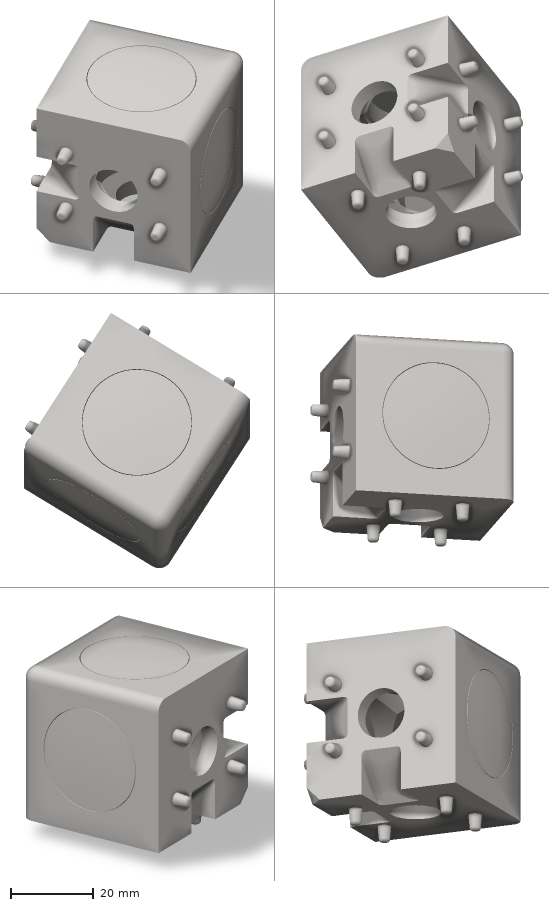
import cadquery as cq
import math

cube_size = 40.0
half_cube = cube_size / 2
round_radius = 3.0
corner_leg = 3.45

notch_leg = 11.0
notch_width = 10.55
notch_fillet = 0.98

port_diameter = 12.5
port_wall = 4.45
chamber_floor_diameter = 21.78
chamber_roof_diameter = 23.45
opening_wall = 7.1
opening_diameter = 21.35
chamber_length = cube_size - port_wall - opening_wall

lens_diameter = 26.5
lens_thickness = 2.0
lens_rise = 0.45
lens_gap = 0.18
seat_diameter = lens_diameter + 2 * lens_gap

pin_length = 4.0
pin_base_radius = 1.7
pin_shoulder_radius = 1.38
pin_nose_radius = 0.75
pin_long_offset = 12.18
pin_short_offset = 8.4

port_planes = [
    cq.Plane(origin=(-half_cube, 0, 0), xDir=(0, 1, 0), normal=(-1, 0, 0)),
    cq.Plane(origin=(0, -half_cube, 0), xDir=(1, 0, 0), normal=(0, -1, 0)),
    cq.Plane(origin=(0, 0, -half_cube), xDir=(1, 0, 0), normal=(0, 0, -1)),
]
lens_planes = [
    cq.Plane(origin=(half_cube, 0, 0), xDir=(0, 1, 0), normal=(1, 0, 0)),
    cq.Plane(origin=(0, half_cube, 0), xDir=(1, 0, 0), normal=(0, 1, 0)),
    cq.Plane(origin=(0, 0, half_cube), xDir=(1, 0, 0), normal=(0, 0, 1)),
]


def disc(plane, diameter, start_depth, length):
    """Cylinder that starts at a depth below a face plane and runs further into the cube."""
    return cq.Workplane(plane).workplane(offset=-start_depth).circle(diameter / 2).extrude(-length)


def make_cube():
    """Cube with three rounded edges at one corner and the opposite corner cut off."""
    cube = cq.Workplane("XY").box(cube_size, cube_size, cube_size)
    cube = cube.edges("(>X and >Y) or (>X and >Z) or (>Y and >Z)").fillet(round_radius)
    cut_center = -half_cube + corner_leg / 3
    cut_plane = cq.Plane(origin=(cut_center, cut_center, cut_center), xDir=(1, -1, 0), normal=(-1, -1, -1))
    return cube.cut(cq.Workplane(cut_plane).circle(corner_leg).extrude(corner_leg))


def make_notch(plane_name):
    """Triangular prism along one cube edge, with its diagonal wall rounded into both ends."""
    prism = (
        cq.Workplane(plane_name)
        .moveTo(-half_cube, -half_cube)
        .line(notch_leg, 0)
        .line(-notch_leg, notch_leg)
        .close()
        .extrude(notch_width / 2, both=True)
    )
    longest_edges = sorted(prism.edges().vals(), key=lambda edge: edge.Length())[-2:]
    return prism.newObject(longest_edges).fillet(notch_fillet)


def make_pin():
    """Tapered pin with a rounded nose, standing on the origin along +Z."""
    shoulder_height = pin_length - pin_nose_radius
    flat_radius = pin_shoulder_radius - pin_nose_radius
    diagonal = pin_nose_radius * math.sqrt(0.5)
    return (
        cq.Workplane("XZ")
        .lineTo(pin_base_radius, 0)
        .lineTo(pin_shoulder_radius, shoulder_height)
        .threePointArc((flat_radius + diagonal, shoulder_height + diagonal), (flat_radius, pin_length))
        .lineTo(0, pin_length)
        .close()
        .revolve(360, (0, 0, 0), (0, 1, 0))
        .val()
    )


def make_chamber(plane):
    """Tapered chamber that widens from the floor behind the port to the roof behind the lens."""
    cone = cq.Solid.makeCone(
        chamber_roof_diameter / 2,
        chamber_floor_diameter / 2,
        chamber_length,
        pnt=cq.Vector(0, 0, -port_wall - chamber_length),
    )
    return cq.Workplane(cone.moved(cq.Location(plane)))


def make_housing():
    housing = make_cube()
    for plane_name in ("XY", "XZ", "YZ"):
        housing = housing.cut(make_notch(plane_name))
    for plane in port_planes:
        housing = housing.cut(disc(plane, port_diameter, 0, port_wall))
        housing = housing.cut(make_chamber(plane))
    for plane in lens_planes:
        housing = housing.cut(disc(plane, seat_diameter, 0, lens_thickness))
        housing = housing.cut(disc(plane, opening_diameter, lens_thickness, opening_wall - lens_thickness))
    pin = make_pin()
    for plane in port_planes:
        for u in (-pin_long_offset, pin_long_offset):
            for v in (-pin_short_offset, pin_short_offset):
                placed_pin = pin.moved(cq.Location((u, v, 0))).moved(cq.Location(plane))
                housing = housing.union(cq.Workplane(placed_pin))
    return housing


def make_lens(plane):
    """Disc with a flat back and a shallow spherical dome that starts at the face plane."""
    radius = lens_diameter / 2
    dome_radius = (radius**2 + lens_rise**2) / (2 * lens_rise)
    mid_radius = radius / 2
    mid_height = lens_rise - dome_radius + math.sqrt(dome_radius**2 - mid_radius**2)
    lens = (
        cq.Workplane("XZ")
        .moveTo(0, -lens_thickness)
        .lineTo(radius, -lens_thickness)
        .lineTo(radius, 0)
        .threePointArc((mid_radius, mid_height), (0, lens_rise))
        .close()
        .revolve(360, (0, 0, 0), (0, 1, 0))
    )
    return lens.val().moved(cq.Location(plane))


housing = make_housing()
lenses = [make_lens(plane) for plane in lens_planes]
result = cq.Compound.makeCompound([housing.val(), *lenses])